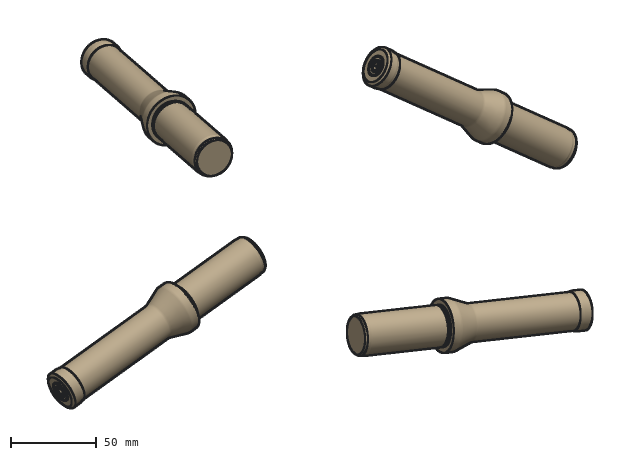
import cadquery as cq
import math

total_length = 151.0

head_length = 8.8
head_radius = 12.1
head_face_radius = 10.1
head_nose_length = 0.9
head_shoulder_radius = 11.8
head_back_radius = 11.6
head_taper_start = 6.0
bore_radius = 6.2

bar_radius = 11.5
collar_radius = 16.0
cone_start = 76.7
cone_angle = 20.0
blend_radius = 4.0
collar_end = 94.8
collar_chamfer = 0.6
collar_chamfer_depth = 0.2

shank_radius = 12.5
neck_radius = 12.2
neck_bottom = 96.0
shank_start = 97.0
shank_end = 146.8
rear_step_start = 147.8
rear_round = 1.4
rear_face_radius = 11.3

nose_chamfer = 0.6
socket_mouth_radius = 3.6
socket_mouth_depth = 0.5
socket_across_corners = 5.7
socket_depth = 3.0
center_hole_diameter = 1.0
center_hole_depth = 1.5


def turned(points):
    """Revolve an (X, radius) outline about the X axis."""
    return cq.Workplane("XY").polyline(points).close().revolve(360, (0, 0, 0), (1, 0, 0))


def make_head():
    """Annular head with a bevelled front edge and a tapered back."""
    return turned([
        (0, bore_radius),
        (0, head_face_radius),
        (head_nose_length, head_shoulder_radius),
        (head_nose_length + head_radius - head_shoulder_radius, head_radius),
        (head_taper_start, head_radius),
        (head_length, head_back_radius),
        (head_length, bore_radius),
    ])


def make_holder_blank():
    """Nose, bar, collar and shank; both ends of the cone are rounded into their neighbours."""
    slope = math.radians(cone_angle)
    cone_end = cone_start + (collar_radius - bar_radius) / math.tan(slope)
    tangent = blend_radius * math.tan(slope / 2)
    half_rise = blend_radius * (1 - math.cos(slope / 2))
    half_run = blend_radius * math.sin(slope / 2)
    run = tangent * math.cos(slope)
    rise = tangent * math.sin(slope)
    profile = (
        cq.Workplane("XY")
        .moveTo(0, 0)
        .lineTo(0, bore_radius - nose_chamfer)
        .lineTo(nose_chamfer, bore_radius)
        .lineTo(head_length, bore_radius)
        .lineTo(head_length, bar_radius)
        .lineTo(cone_start - tangent, bar_radius)
        .threePointArc(
            (cone_start - tangent + half_run, bar_radius + half_rise),
            (cone_start + run, bar_radius + rise),
        )
        .lineTo(cone_end - run, collar_radius - rise)
        .threePointArc(
            (cone_end + tangent - half_run, collar_radius - half_rise),
            (cone_end + tangent, collar_radius),
        )
        .lineTo(collar_end - collar_chamfer, collar_radius)
        .lineTo(collar_end, collar_radius - collar_chamfer_depth)
        .lineTo(collar_end, shank_radius)
        .lineTo(neck_bottom, neck_radius)
        .lineTo(shank_start, shank_radius)
        .lineTo(shank_end, shank_radius)
        .lineTo(rear_step_start, neck_radius)
        .lineTo(total_length - rear_round, neck_radius)
        .lineTo(total_length, rear_face_radius)
        .lineTo(total_length, 0)
        .close()
    )
    return profile.revolve(360, (0, 0, 0), (1, 0, 0))


def make_socket():
    """Cutter for the socket mouth, the corner-up hexagon below it and the center hole."""
    front = cq.Workplane("YZ")
    mouth = front.circle(socket_mouth_radius).extrude(socket_mouth_depth)
    hexagon = front.transformed(rotate=(0, 0, 90)).polygon(6, socket_across_corners).extrude(socket_depth)
    center_hole = front.circle(center_hole_diameter / 2).extrude(socket_depth + center_hole_depth)
    return mouth.union(hexagon).union(center_hole)


head = make_head()
holder = make_holder_blank().cut(make_socket())

result = cq.Compound.makeCompound([head.val(), holder.val()])